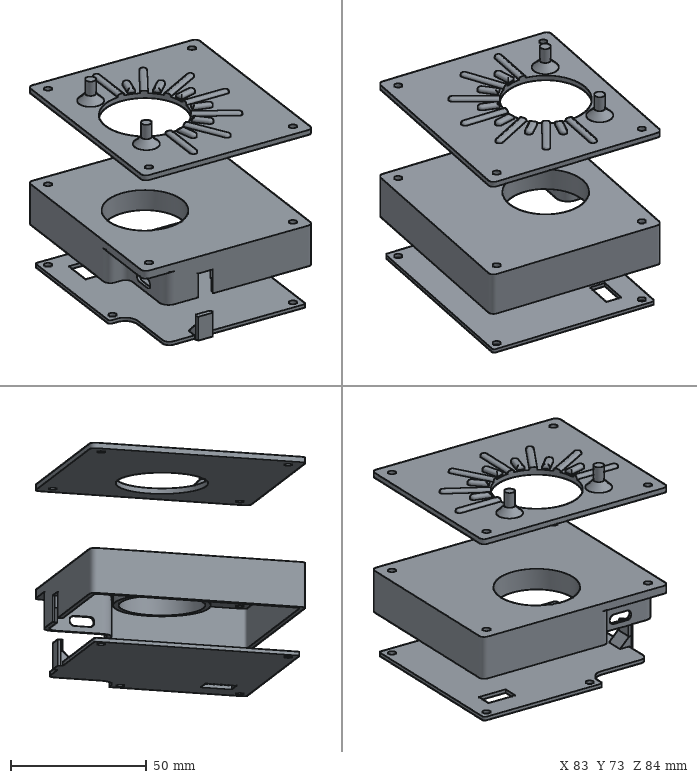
import cadquery as cq

WIDTH = 83.0
DEPTH = 73.0
TOTAL_HEIGHT = 84.0
CORNER_RADIUS = 2.2
WALL = 1.9
OVERSHOOT = 0.8

SCREW_DIAMETER = 3.0
SCREW_INSET = 5.5
SCREW_X = WIDTH / 2 - SCREW_INSET
SCREW_Y = DEPTH / 2 - SCREW_INSET
NOTCH_SCREW_X = 10.0

DIAL_Y = -11.0
FACE_DIAL_DIAMETER = 34.0
HOUSING_DIAL_DIAMETER = 32.0
COLLAR_DIAMETER = 36.0
COLLAR_DEPTH = 8.5

PEG_DIAMETER = 4.0
PEG_FLARE_DIAMETER = 10.0
PEG_FLARE_HEIGHT = (PEG_FLARE_DIAMETER - PEG_DIAMETER) / 2
PEG_HEIGHT = 9.0
PEG_X = 19.9
PEG_Y = -22.4

FACE_THICKNESS = 2.1
FACE_TOP_Z = TOTAL_HEIGHT - PEG_HEIGHT
FACE_BOTTOM_Z = FACE_TOP_Z - FACE_THICKNESS

MARK_WIDTH = 3.0
MARK_FILLET = 1.0
MARK_SPACING = 30
LONG_MARK_COUNT = 7
LONG_MARK_TIP = 36.0
LONG_MARK_HEIGHT = 1.1
SHORT_MARK_START = 18.0
SHORT_MARK_TIP = 26.0
SHORT_MARK_HEIGHT = 1.5

HOUSING_BOTTOM_Z = 18.1
HOUSING_HEIGHT = 17.05
HOUSING_TOP_Z = HOUSING_BOTTOM_Z + HOUSING_HEIGHT

NOTCH_X = 15.45
NOTCH_WALL_Y = -27.5
NOTCH_LEDGE = 3.3
NOTCH_BEND_RADIUS = 3.1
NOTCH_CORNER_RADIUS = 4.0
NOTCH_WALL = 1.3

CAVITY_CORNER_RADIUS = 1.0
CAVITY_NOTCH_CORNER_RADIUS = 3.0

CONNECTOR_LENGTH = 9.5
CONNECTOR_HEIGHT = 3.9
CONNECTOR_RADIUS = 1.85
CONNECTOR_X = 26.2
CONNECTOR_Z = HOUSING_BOTTOM_Z + 4.2

BASE_THICKNESS = 1.5
BASE_NOTCH_Y = -25.5
BASE_BEND_RADIUS = 5.55

WINDOW_LENGTH = 11.9
WINDOW_WIDTH = 6.3
WINDOW_X = -25.1
WINDOW_Y = -21.9

TONGUE_Y = -9.9
TONGUE_WIDTH = 7.2
TONGUE_THICKNESS = 2.0
TONGUE_INNER_X = WIDTH / 2 - TONGUE_THICKNESS
TONGUE_MIDDLE_X = WIDTH / 2 - TONGUE_THICKNESS / 2
TONGUE_SIDE_DEPTH = 0.5
TONGUE_HEIGHT = 10.0
GUSSET_SIZE = 4.0


def screw_points(x_of_notch_screw):
    return [
        (-SCREW_X, -SCREW_Y),
        (-SCREW_X, SCREW_Y),
        (SCREW_X, SCREW_Y),
        (x_of_notch_screw, -SCREW_Y),
    ]


def cover(bottom_z, height):
    """Full rectangle of the case with rounded vertical edges."""
    return (
        cq.Workplane("XY", origin=(0, 0, bottom_z))
        .rect(WIDTH, DEPTH)
        .extrude(height)
        .edges("|Z")
        .fillet(CORNER_RADIUS)
    )


def cylinder(diameter, x, y, bottom_z, height):
    return cq.Workplane("XY", origin=(x, y, bottom_z)).circle(diameter / 2).extrude(height)


def screw_holes(x_of_notch_screw, bottom_z, height):
    return (
        cq.Workplane("XY", origin=(0, 0, bottom_z))
        .pushPoints(screw_points(x_of_notch_screw))
        .circle(SCREW_DIAMETER / 2)
        .extrude(height)
    )


def notched_block(inset, notch_y, bottom_z, height, corner, flank, bend, notch_corner):
    """Case footprint moved inward by an inset, without its notch corner.

    The notch reaches up to notch_y. The radii belong to the three plain corners, the convex
    start of the notch, its concave bend and its corner on the +X side.
    """
    half_x = WIDTH / 2 - inset
    half_y = DEPTH / 2 - inset
    notch_x = NOTCH_X - inset
    block = (
        cq.Workplane("XY", origin=(0, 0, bottom_z))
        .moveTo(-half_x, -half_y)
        .lineTo(notch_x, -half_y)
        .lineTo(notch_x, notch_y)
        .lineTo(half_x, notch_y)
        .lineTo(half_x, half_y)
        .lineTo(-half_x, half_y)
        .close()
        .extrude(height)
    )
    for x, y, radius in [
        (-half_x, -half_y, corner),
        (-half_x, half_y, corner),
        (half_x, half_y, corner),
        (notch_x, -half_y, flank),
        (notch_x, notch_y, bend),
        (half_x, notch_y, notch_corner),
    ]:
        edge = cq.selectors.NearestToPointSelector((x, y, bottom_z + height / 2))
        block = block.edges("|Z").edges(edge).fillet(radius)
    return block


def cavity_block(notch_y, bend, bottom_z, height):
    """Footprint inside the housing walls, for the cavity and the base plate that fits into it."""
    return notched_block(
        WALL,
        notch_y,
        bottom_z,
        height,
        CAVITY_CORNER_RADIUS,
        CAVITY_CORNER_RADIUS,
        bend,
        CAVITY_NOTCH_CORNER_RADIUS,
    )


def tongue(bottom_z):
    """Upright tongue, widest halfway through its thickness, with the gusset that braces it."""
    outer_x = WIDTH / 2
    wide = TONGUE_WIDTH / 2
    narrow = wide - TONGUE_SIDE_DEPTH
    upright = (
        cq.Workplane("XY", origin=(0, TONGUE_Y, bottom_z))
        .polyline(
            [
                (TONGUE_INNER_X, -narrow),
                (TONGUE_MIDDLE_X, -wide),
                (outer_x, -narrow),
                (outer_x, narrow),
                (TONGUE_MIDDLE_X, wide),
                (TONGUE_INNER_X, narrow),
            ]
        )
        .close()
        .extrude(TONGUE_HEIGHT)
    )
    toe_x = TONGUE_INNER_X - GUSSET_SIZE
    gusset_top = BASE_THICKNESS + GUSSET_SIZE
    gusset = (
        cq.Workplane("XZ", origin=(0, TONGUE_Y, bottom_z))
        .polyline(
            [
                (TONGUE_MIDDLE_X, 0),
                (toe_x, 0),
                (toe_x, BASE_THICKNESS),
                (TONGUE_INNER_X, gusset_top),
                (TONGUE_MIDDLE_X, gusset_top),
            ]
        )
        .close()
        .extrude(TONGUE_WIDTH / 2, both=True)
    )
    return upright.union(gusset)


def mark(angle, start, tip, height):
    """Raised mark pointing away from the dial centre, round at its tip and along its top edges."""
    half_width = MARK_WIDTH / 2
    straight_end = tip - half_width
    return (
        cq.Workplane("XY")
        .moveTo(start, -half_width)
        .lineTo(straight_end, -half_width)
        .threePointArc((tip, 0), (straight_end, half_width))
        .lineTo(start, half_width)
        .close()
        .extrude(height)
        .faces(">Z")
        .edges()
        .fillet(MARK_FILLET)
        .rotate((0, 0, 0), (0, 0, 1), angle)
        .translate((0, DIAL_Y, FACE_TOP_Z))
    )


def make_faceplate():
    plate = cover(FACE_BOTTOM_Z, FACE_THICKNESS)
    long_start = FACE_DIAL_DIAMETER / 2 - MARK_WIDTH
    for index in range(LONG_MARK_COUNT):
        angle = index * MARK_SPACING
        plate = plate.union(mark(angle, long_start, LONG_MARK_TIP, LONG_MARK_HEIGHT))
    for index in range(LONG_MARK_COUNT - 1):
        angle = (index + 0.5) * MARK_SPACING
        plate = plate.union(mark(angle, SHORT_MARK_START, SHORT_MARK_TIP, SHORT_MARK_HEIGHT))
    opening_height = FACE_THICKNESS + LONG_MARK_HEIGHT + OVERSHOOT
    plate = plate.cut(cylinder(FACE_DIAL_DIAMETER, 0, DIAL_Y, FACE_BOTTOM_Z, opening_height))
    return plate.cut(screw_holes(SCREW_X, FACE_BOTTOM_Z, FACE_THICKNESS))


def make_peg(x):
    """Round peg on a conical foot."""
    return (
        cq.Workplane("XZ", origin=(x, PEG_Y, FACE_TOP_Z))
        .polyline(
            [
                (0, 0),
                (PEG_FLARE_DIAMETER / 2, 0),
                (PEG_DIAMETER / 2, PEG_FLARE_HEIGHT),
                (PEG_DIAMETER / 2, PEG_HEIGHT),
                (0, PEG_HEIGHT),
            ]
        )
        .close()
        .revolve(360, (0, 0, 0), (0, 1, 0))
    )


def make_housing():
    ledge_bottom_z = HOUSING_TOP_Z - NOTCH_LEDGE
    walls = notched_block(
        0,
        NOTCH_WALL_Y,
        HOUSING_BOTTOM_Z,
        HOUSING_HEIGHT - NOTCH_LEDGE,
        CORNER_RADIUS,
        NOTCH_BEND_RADIUS,
        NOTCH_BEND_RADIUS,
        NOTCH_CORNER_RADIUS,
    )
    housing = walls.union(cover(ledge_bottom_z, NOTCH_LEDGE))
    cavity = cavity_block(
        NOTCH_WALL_Y + NOTCH_WALL,
        NOTCH_BEND_RADIUS + WALL,
        HOUSING_BOTTOM_Z,
        HOUSING_HEIGHT - WALL,
    )
    housing = housing.cut(cavity)
    collar_bottom_z = HOUSING_TOP_Z - COLLAR_DEPTH
    housing = housing.union(cylinder(COLLAR_DIAMETER, 0, DIAL_Y, collar_bottom_z, COLLAR_DEPTH))
    housing = housing.cut(cylinder(HOUSING_DIAL_DIAMETER, 0, DIAL_Y, collar_bottom_z, COLLAR_DEPTH))
    housing = housing.cut(screw_holes(SCREW_X, ledge_bottom_z, NOTCH_LEDGE))
    connector_slot = (
        cq.Workplane("XY")
        .box(CONNECTOR_LENGTH, NOTCH_WALL + OVERSHOOT, CONNECTOR_HEIGHT)
        .edges("|Y")
        .fillet(CONNECTOR_RADIUS)
        .translate((CONNECTOR_X, NOTCH_WALL_Y + NOTCH_WALL / 2, CONNECTOR_Z))
    )
    return housing.cut(connector_slot).cut(tongue(HOUSING_BOTTOM_Z))


def make_base_plate():
    plate = cavity_block(BASE_NOTCH_Y, BASE_BEND_RADIUS, 0, BASE_THICKNESS)
    window = (
        cq.Workplane("XY", origin=(WINDOW_X, WINDOW_Y, 0))
        .rect(WINDOW_LENGTH, WINDOW_WIDTH)
        .extrude(BASE_THICKNESS)
    )
    plate = plate.union(tongue(0))
    return plate.cut(window).cut(screw_holes(NOTCH_SCREW_X, 0, BASE_THICKNESS))


faceplate = make_faceplate().solids()
pegs = [make_peg(x) for x in (-PEG_X, PEG_X)]
housing = make_housing().solids()
base_plate = make_base_plate().solids()

result = cq.Compound.makeCompound(
    [faceplate.val(), *[peg.val() for peg in pegs], housing.val(), base_plate.val()]
)